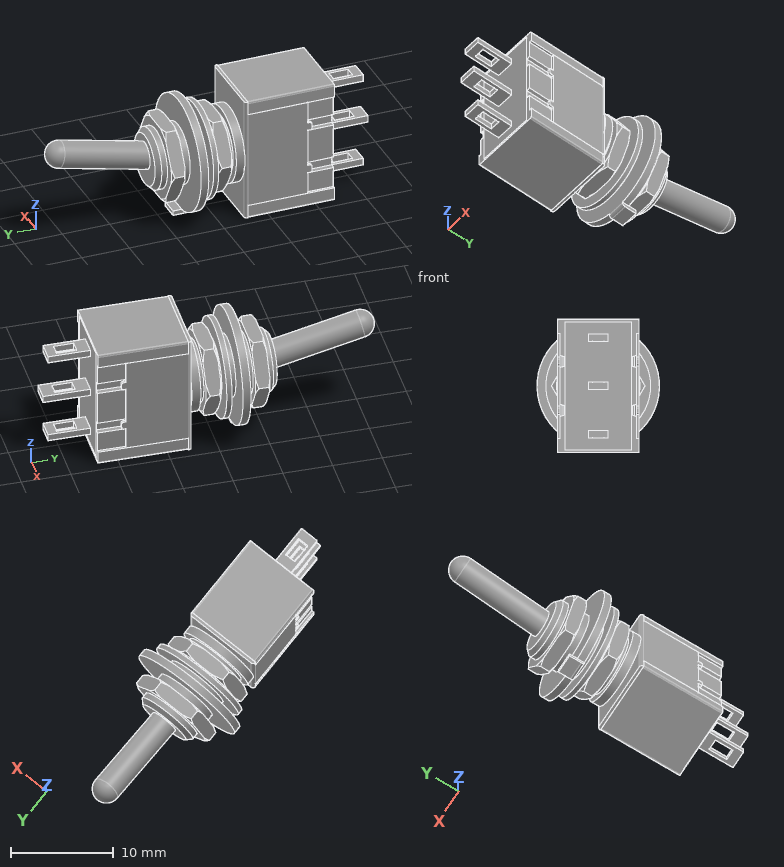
import cadquery as cq
import math


body_width = 7.95
body_height = 13.0
body_depth = 9.43
corner_radius = 0.17
plate_thickness = 0.35
plate_bend_radius = 0.3
leg_thickness = 0.27
leg_height = 10.2
leg_end_y = -6.6
block_width = 6.45
block_height = 12.48

tongue_length = 0.47
tongue_height = 0.85
tongue_corner = 0.25
slot_mouth_height = 1.17
slot_floor_height = 0.95
slot_depth = 0.37
slot_spacing = 4.75
slot_end_chamfer = 0.2

terminal_width = 1.95
terminal_thickness = 0.75
terminal_pitch = 4.7
terminal_hole_width = 1.15
terminal_hole_length = 2.0
outer_terminal_length = 4.25
outer_hole_start = 1.27
middle_terminal_length = 4.75
middle_hole_start = 1.45

bushing_diameter = 6.35
bushing_length = 8.92
bushing_tip_diameter = 5.37
bushing_taper_length = 0.5
flange_diameter = body_width
flange_thickness = 0.9

lever_diameter = 2.8
lever_tilt = 13.0
pivot_y = 6.88
lever_tip_y = 19.35

nut_width = 7.9
front_nut_face_diameter = 8.32
rear_nut_face_diameter = 8.12
nut_chamfer_angle = 30.0
front_nut_y = 6.37
front_nut_thickness = 1.45
rear_nut_y = 1.4
rear_nut_thickness = 1.5
thin_washer_diameter = 10.2
thin_washer_y = 3.22
thin_washer_thickness = 0.55
tab_washer_diameter = 11.95
tab_washer_y = 4.63
tab_washer_thickness = 0.8
tab_width = 2.0
tab_thickness = 0.5
tab_length = 1.7
tab_bottom_z = -6.35
tab_bend_radius = 0.35


def box(x_range, y_range, z_range):
    """Box between the given limits along X, Y and Z."""
    return cq.Workplane("XY").box(
        x_range[1] - x_range[0],
        y_range[1] - y_range[0],
        z_range[1] - z_range[0],
        centered=False,
    ).translate((x_range[0], y_range[0], z_range[0]))


def centered_box(width, y_range, height, center_z=0):
    """Box centred on X = 0 and on the given Z."""
    return box((-width / 2, width / 2), y_range, (center_z - height / 2, center_z + height / 2))


def disc(diameter, start_y, thickness):
    """Round disc on the switch axis that grows toward +Y."""
    return cq.Workplane("XZ", origin=(0, start_y, 0)).circle(diameter / 2).extrude(-thickness)


case_front_y = -plate_thickness
case_rear_y = -body_depth
leg_inner_x = body_width / 2 - leg_thickness
slot_floor_x = leg_inner_x - slot_depth
tongue_end_y = leg_end_y - tongue_length
slot_centers = (-slot_spacing / 2, slot_spacing / 2)
side_turns = (0, 180)


def make_slot():
    """Slot volume on the +X side: drafted walls, and a 45 degree chamfer that undercuts the front end."""
    end_y = leg_end_y + slot_end_chamfer
    side_profile = (
        cq.Workplane("XY")
        .polyline([
            (leg_inner_x, case_rear_y),
            (leg_inner_x, leg_end_y),
            (leg_inner_x - slot_end_chamfer, end_y),
            (slot_floor_x, end_y),
            (slot_floor_x, case_rear_y),
        ])
        .close()
        .extrude(slot_mouth_height / 2, both=True)
    )
    cross_section = (
        cq.Workplane("XZ", origin=(0, case_rear_y, 0))
        .polyline([
            (leg_inner_x, slot_mouth_height / 2),
            (slot_floor_x, slot_floor_height / 2),
            (slot_floor_x, -slot_floor_height / 2),
            (leg_inner_x, -slot_mouth_height / 2),
        ])
        .close()
        .extrude(case_rear_y - end_y)
    )
    return side_profile.intersect(cross_section)


def make_case():
    """Sleeve with a shallow recess on each X side and two deeper slots in each recess."""
    case = centered_box(body_width, (case_rear_y, case_front_y), body_height)
    case = case.edges("|Y").fillet(corner_radius)
    case = case.cut(centered_box(block_width, (case_rear_y, case_front_y), block_height))
    for turn in side_turns:
        recess = box((leg_inner_x, body_width), (case_rear_y, case_front_y), (-leg_height / 2, leg_height / 2))
        for z in slot_centers:
            recess = recess.union(make_slot().translate((0, 0, z)))
        case = case.cut(recess.rotate((0, 0, 0), (0, 1, 0), turn))
    return case


def make_leg():
    """Frame leg on the +X side, with its two round-cornered tongues."""
    outer_x = body_width / 2
    leg = box((leg_inner_x, outer_x), (leg_end_y, case_front_y), (-leg_height / 2, leg_height / 2))
    for z in slot_centers:
        z_range = (z - tongue_height / 2, z + tongue_height / 2)
        tongue = box((leg_inner_x, outer_x), (tongue_end_y, leg_end_y), z_range)
        leg = leg.union(tongue.edges("|X and <Y").fillet(tongue_corner))
    return leg


def make_bushing():
    """Bushing with a tapered tip."""
    radius = bushing_diameter / 2
    return (
        cq.Workplane("XY")
        .moveTo(0, 0)
        .lineTo(radius, 0)
        .lineTo(radius, bushing_length - bushing_taper_length)
        .lineTo(bushing_tip_diameter / 2, bushing_length)
        .lineTo(0, bushing_length)
        .close()
        .revolve(360, (0, 0), (0, 1))
    )


def make_frame():
    """Frame plate with its two side legs and the flanged bushing."""
    frame = centered_box(body_width, (case_front_y, 0), body_height)
    frame = frame.edges("|Z and >Y").fillet(plate_bend_radius)
    for turn in side_turns:
        frame = frame.union(make_leg().rotate((0, 0, 0), (0, 1, 0), turn))
    frame = frame.union(disc(flange_diameter, 0, flange_thickness))
    return frame.union(make_bushing())


def make_lever():
    """Tilted round lever with a hemispherical tip, standing on the tip face of the bushing."""
    radius = lever_diameter / 2
    tilt = math.radians(lever_tilt)
    straight = (lever_tip_y - radius - pivot_y) / math.cos(tilt)
    lever = (
        cq.Workplane("XY")
        .moveTo(0, 0)
        .lineTo(radius, 0)
        .lineTo(radius, straight)
        .radiusArc((0, straight + radius), -radius)
        .close()
        .revolve(360, (0, 0), (0, 1))
        .rotate((0, 0, 0), (1, 0, 0), lever_tilt)
        .translate((0, pivot_y, 0))
    )
    return lever.cut(disc(4 * lever_diameter, bushing_length - lever_tip_y, lever_tip_y))


def make_terminal(length, hole_start):
    """Flat terminal behind the block, with a rectangular eye."""
    terminal = centered_box(terminal_width, (case_rear_y - length, case_rear_y), terminal_thickness)
    hole_y = case_rear_y - hole_start
    hole = centered_box(terminal_hole_width, (hole_y - terminal_hole_length, hole_y), 2 * terminal_thickness)
    return terminal.cut(hole)


def make_terminal_block():
    """Block that fills the case and carries the three terminals."""
    block = centered_box(block_width, (case_rear_y, case_front_y), block_height)
    block = block.union(make_terminal(middle_terminal_length, middle_hole_start))
    for z in (-terminal_pitch, terminal_pitch):
        block = block.union(make_terminal(outer_terminal_length, outer_hole_start).translate((0, 0, z)))
    return block


def make_nut(start_y, thickness, face_diameter):
    """Hexagon nut with corners on +-X and a round chamfer on both faces."""
    across_corners = nut_width / math.cos(math.pi / 6)
    hexagon = cq.Workplane("XZ", origin=(0, start_y, 0)).polygon(6, across_corners).extrude(-thickness)
    face_radius = face_diameter / 2
    outer_radius = across_corners / 2
    drop = (outer_radius - face_radius) * math.tan(math.radians(nut_chamfer_angle))
    envelope = (
        cq.Workplane("XY")
        .polyline([
            (0, start_y),
            (face_radius, start_y),
            (outer_radius, start_y + drop),
            (outer_radius, start_y + thickness - drop),
            (face_radius, start_y + thickness),
            (0, start_y + thickness),
        ])
        .close()
        .revolve(360, (0, 0), (0, 1))
    )
    return hexagon.intersect(envelope).cut(disc(bushing_diameter, start_y, thickness))


def make_thin_washer():
    """Plain flat washer."""
    washer = disc(thin_washer_diameter, thin_washer_y, thin_washer_thickness)
    return washer.cut(disc(bushing_diameter, thin_washer_y, thin_washer_thickness))


def make_tab_washer():
    """Locating washer whose bottom tab is bent toward +Y."""
    washer = disc(tab_washer_diameter, tab_washer_y, tab_washer_thickness)
    tab = box(
        (-tab_width / 2, tab_width / 2),
        (tab_washer_y, tab_washer_y + tab_length),
        (tab_bottom_z, tab_bottom_z + tab_thickness),
    )
    tab = tab.edges("|X and <Y and <Z").fillet(tab_bend_radius)
    return washer.union(tab).cut(disc(bushing_diameter, tab_washer_y, tab_washer_thickness))


case = make_case()
frame = make_frame()
terminal_block = make_terminal_block()
lever = make_lever()
front_nut = make_nut(front_nut_y, front_nut_thickness, front_nut_face_diameter)
rear_nut = make_nut(rear_nut_y, rear_nut_thickness, rear_nut_face_diameter)
thin_washer = make_thin_washer()
tab_washer = make_tab_washer()

result = cq.Compound.makeCompound([
    case.val(),
    frame.val(),
    terminal_block.val(),
    lever.val(),
    front_nut.val(),
    rear_nut.val(),
    thin_washer.val(),
    tab_washer.val(),
])